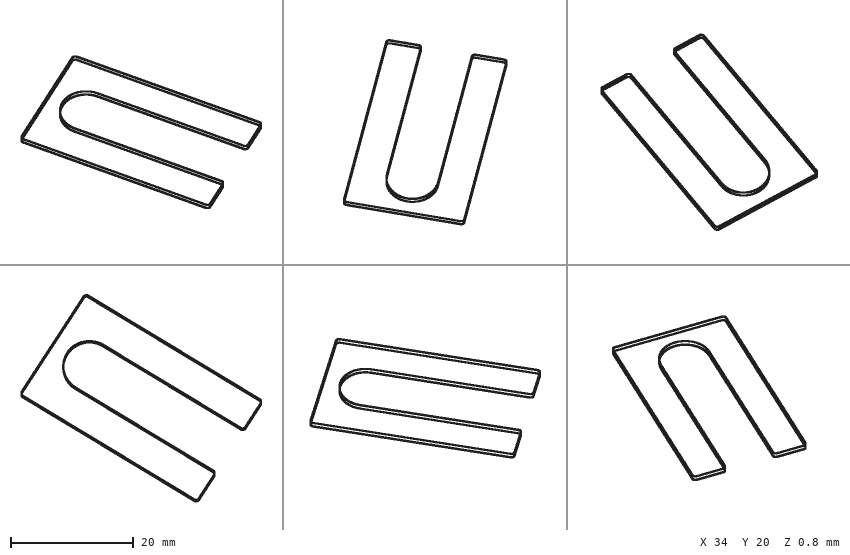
import cadquery as cq

length = 34.0
width = 20.0
thickness = 0.8
corner_radius = 0.5

slot_width = 8.5
closed_end_wall = 2.8
slot_radius = slot_width / 2
slot_center_x = -length / 2 + closed_end_wall + slot_radius


def slot_cutter():
    """Round-ended slot running out through the +X edge."""
    straight_length = length / 2 - slot_center_x
    round_end = cq.Workplane("XY").center(slot_center_x, 0).circle(slot_radius).extrude(thickness)
    straight = (
        cq.Workplane("XY")
        .center(slot_center_x + straight_length / 2, 0)
        .rect(straight_length, slot_width)
        .extrude(thickness)
    )
    return round_end.union(straight)


plate = cq.Workplane("XY").rect(length, width).extrude(thickness)
plate = plate.cut(slot_cutter())

outer_corners = plate.edges("|Z and (<X or >X)")
result = outer_corners.fillet(corner_radius)